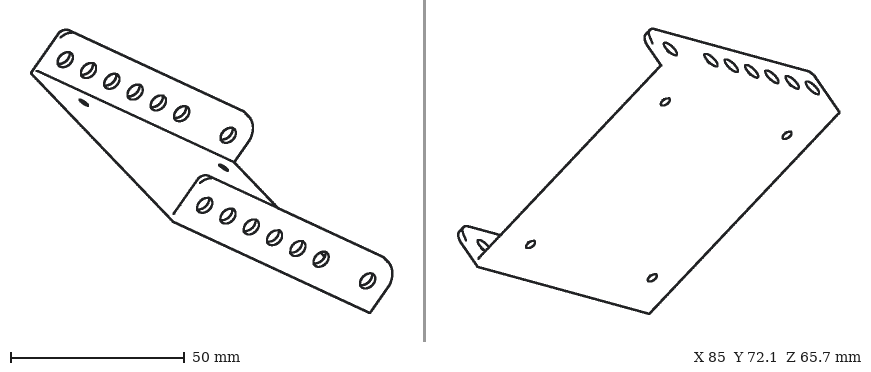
import cadquery as cq

WIDTH = 85.0
LENGTH = 84.7
FLANGE_HEIGHT = 16.5
THICKNESS = 2.0
EDGE_ROUNDING = 0.3
TILT_ANGLE = -40.0

LOWER_CORNER_RADIUS = 8.0
UPPER_CORNER_RADIUS = 3.0

FLANGE_HOLE_DIAMETER = 5.0
FLANGE_HOLE_HEIGHT = 8.5
FIRST_HOLE_OFFSET = 6.5
HOLE_PITCH = 10.0
HOLE_STEPS = (0, 1, 2, 3, 4, 5, 7)

PLATE_HOLE_DIAMETER = 3.0
PLATE_HOLE_SPACING = 60.0
PLATE_HOLE_CENTRE = LENGTH / 2


def channel():
    """U-shaped channel, upper end at Y = 0 and underside at Z = 0, with all but its inner bends rounded."""
    half_width = WIDTH / 2
    half_gap = half_width - THICKNESS
    body = (
        cq.Workplane("XZ")
        .moveTo(-half_width, 0)
        .lineTo(half_width, 0)
        .lineTo(half_width, FLANGE_HEIGHT)
        .lineTo(half_gap, FLANGE_HEIGHT)
        .lineTo(half_gap, THICKNESS)
        .lineTo(-half_gap, THICKNESS)
        .lineTo(-half_gap, FLANGE_HEIGHT)
        .lineTo(-half_width, FLANGE_HEIGHT)
        .close()
        .extrude(-LENGTH)
    )
    inner_bends = cq.selectors.BoxSelector(
        (-half_width + EDGE_ROUNDING, EDGE_ROUNDING, EDGE_ROUNDING),
        (half_width - EDGE_ROUNDING, LENGTH - EDGE_ROUNDING, FLANGE_HEIGHT / 2),
    )
    return body.edges(cq.selectors.InverseSelector(inner_bends)).fillet(EDGE_ROUNDING)


def side_profile():
    """Side outline across the full width, with the free flange corners rounded."""
    block = cq.Workplane("XY").box(WIDTH, LENGTH, FLANGE_HEIGHT, centered=(True, False, False))
    block = block.edges("|X and >Z and >Y").fillet(LOWER_CORNER_RADIUS)
    return block.edges("|X and <Y").edges(">Z").fillet(UPPER_CORNER_RADIUS)


def flange_holes():
    """Pins that pierce both flanges along one row."""
    centres = [(FIRST_HOLE_OFFSET + step * HOLE_PITCH, FLANGE_HOLE_HEIGHT) for step in HOLE_STEPS]
    return (
        cq.Workplane("YZ")
        .pushPoints(centres)
        .circle(FLANGE_HOLE_DIAMETER / 2)
        .extrude(WIDTH, both=True)
    )


def plate_holes():
    """Pins that pierce the plate at the corners of a square."""
    return (
        cq.Workplane("XY")
        .center(0, PLATE_HOLE_CENTRE)
        .rarray(PLATE_HOLE_SPACING, PLATE_HOLE_SPACING, 2, 2)
        .circle(PLATE_HOLE_DIAMETER / 2)
        .extrude(THICKNESS)
    )


bracket = channel().intersect(side_profile())
bracket = bracket.cut(flange_holes()).cut(plate_holes())

result = bracket.rotate((0, 0, 0), (1, 0, 0), TILT_ANGLE)